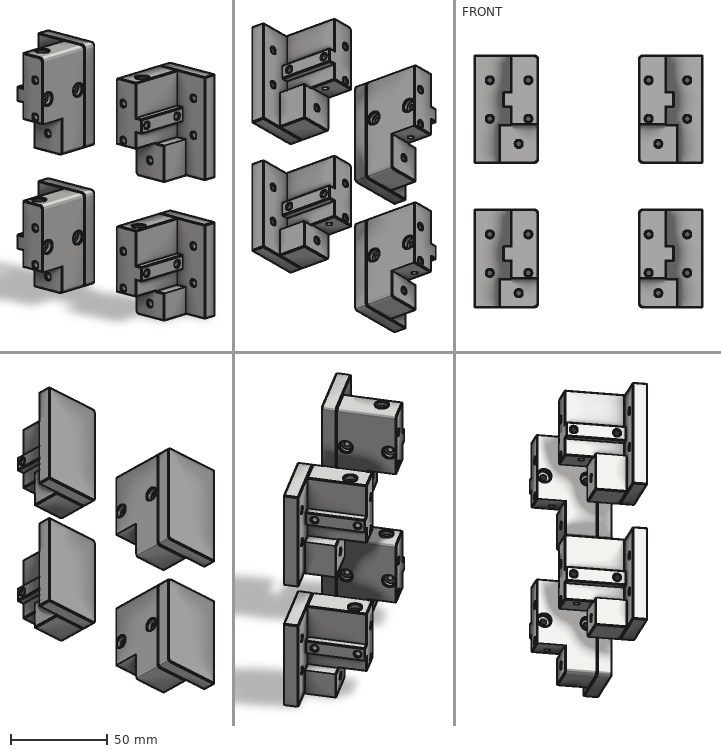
import cadquery as cq

overall_width = 118.8
overall_height = 131.0
overall_depth = 40.0
mount_width = 33.35

back_y = overall_depth / 2
front_y = -back_y
plate_thickness = 8.0
joint_y = back_y - plate_thickness
outer_x = -overall_width / 2
inner_x = outer_x + mount_width

arm_width = 14.35
arm_height = 36.0
arm_x = inner_x - arm_width
tooth_height = 8.0
tooth_reach = 4.0
tooth_x = arm_x - tooth_reach
foot_width = 20.35
foot_x = inner_x - foot_width
foot_front_y = back_y - 25.0

tall_foot_height = 20.0
short_foot_height = 15.0
tall_top_z = overall_height / 2
short_top_z = arm_height + short_foot_height - overall_height / 2
tall_top_hole_y = back_y - 30.0
short_top_hole_y = back_y - 32.5
mount_types = (
    (tall_top_z, tall_foot_height, tall_top_hole_y),
    (short_top_z, short_foot_height, short_top_hole_y),
)

edge_chamfer = 0.55
lead_in_chamfer = 0.6
corner_radius = 2.2

screw_diameter = 3.2
screw_depth = 6.0
screw_pitch = 20.0
first_screw_drop = 13.0
arm_screw_x = inner_x - 5.2
plate_screw_x = arm_screw_x - screw_pitch
foot_screw_x = inner_x - foot_width / 2
screw_drops = (first_screw_drop, first_screw_drop + screw_pitch)

counterbore_diameter = 6.5
counterbore_depth = 3.0
tooth_drop = first_screw_drop + screw_pitch / 2
cross_hole_ys = (back_y - 13.0, back_y - 36.0)

top_hole_x = inner_x - 9.4
top_hole_depth = arm_height

FRONT_TO_BACK = (0, 1, 0)
OUTER_TO_INNER = (1, 0, 0)
INNER_TO_OUTER = (-1, 0, 0)
DOWN = (0, 0, -1)


def block(x_range, y_range, z_range):
    """Box that fills the given X, Y and Z ranges."""
    corner = [low for low, high in (x_range, y_range, z_range)]
    size = [high - low for low, high in (x_range, y_range, z_range)]
    return cq.Workplane("XY").box(*size, centered=False).translate(tuple(corner))


def drill(mouth, direction, diameter, depth):
    """Tool for a flat-bottomed hole with a chamfered mouth."""
    radius = diameter / 2
    point = cq.Vector(*mouth)
    axis = cq.Vector(*direction)
    bore = cq.Solid.makeCylinder(radius, depth, point, axis)
    lead_in = cq.Solid.makeCone(radius + lead_in_chamfer, radius, lead_in_chamfer, point, axis)
    return cq.Workplane(bore).union(cq.Workplane(lead_in))


def screw_hole(x, y, z):
    """Blind screw hole that enters from the front."""
    return drill((x, y, z), FRONT_TO_BACK, screw_diameter, screw_depth)


def make_plate(top_z, bottom_z):
    """Back plate with rounded inner corners and chamfers all round its faces."""
    plate = block((outer_x, inner_x), (joint_y, back_y), (bottom_z, top_z))
    plate = plate.edges("|Y and >X").fillet(corner_radius)
    plate = plate.edges("<Y or >Y or <X").chamfer(edge_chamfer)
    for drop in screw_drops:
        plate = plate.cut(screw_hole(plate_screw_x, joint_y, top_z - drop))
    return plate


def outside_edges(guide, top_z, bottom_z):
    """Edges around the front, joint and foot faces, and the long edges of the outer side."""
    arm_bottom_z = top_z - arm_height
    tooth_z = top_z - tooth_drop
    arm_y = (front_y + joint_y) / 2
    overhang_y = (front_y + foot_front_y) / 2
    foot_y = (foot_front_y + joint_y) / 2
    edge_centres = (
        (arm_x, arm_y, top_z),
        (arm_x, overhang_y, arm_bottom_z),
        (tooth_x, arm_y, tooth_z + tooth_height / 2),
        (tooth_x, arm_y, tooth_z - tooth_height / 2),
        (foot_x, foot_y, bottom_z),
        (foot_x, foot_front_y, (bottom_z + arm_bottom_z) / 2),
        (foot_screw_x, foot_front_y, bottom_z),
        (inner_x, foot_front_y, (bottom_z + arm_bottom_z) / 2),
    )
    edges = guide.faces("<Y or >Y").edges()
    for centre in edge_centres:
        edges = edges.add(guide.edges(cq.NearestToPointSelector(centre)))
    return edges


def make_guide(top_z, bottom_z, top_hole_y):
    """Arm, side tooth and foot block in one piece, with all their holes."""
    arm_bottom_z = top_z - arm_height
    tooth_z = top_z - tooth_drop
    tooth_range = (tooth_z - tooth_height / 2, tooth_z + tooth_height / 2)
    arm_range = (front_y, joint_y)
    foot_range = (foot_front_y, joint_y)

    guide = block((arm_x, inner_x), arm_range, (arm_bottom_z, top_z))
    guide = guide.union(block((tooth_x, inner_x), arm_range, tooth_range))
    guide = guide.union(block((foot_x, inner_x), foot_range, (bottom_z, arm_bottom_z)))

    guide = guide.edges("|Y and >X").edges(">Z or <Z").fillet(corner_radius)

    guide = outside_edges(guide, top_z, bottom_z).chamfer(edge_chamfer)
    foot_lip = ((foot_x + arm_x) / 2, foot_front_y, arm_bottom_z)
    guide = guide.edges(cq.NearestToPointSelector(foot_lip)).chamfer(edge_chamfer)

    for drop in screw_drops:
        guide = guide.cut(screw_hole(arm_screw_x, front_y, top_z - drop))
    guide = guide.cut(screw_hole(foot_screw_x, foot_front_y, (bottom_z + arm_bottom_z) / 2))

    for y in cross_hole_ys:
        tooth_mouth = (tooth_x, y, tooth_z)
        inner_mouth = (inner_x, y, tooth_z)
        guide = guide.cut(drill(tooth_mouth, OUTER_TO_INNER, screw_diameter, inner_x - tooth_x))
        guide = guide.cut(drill(inner_mouth, INNER_TO_OUTER, counterbore_diameter, counterbore_depth))

    top_mouth = (top_hole_x, top_hole_y, top_z)
    guide = guide.cut(drill(top_mouth, DOWN, counterbore_diameter, counterbore_depth))
    guide = guide.cut(drill(top_mouth, DOWN, screw_diameter, top_hole_depth))
    return guide


solids = []
for top_z, foot_height, top_hole_y in mount_types:
    bottom_z = top_z - arm_height - foot_height
    for body in (make_plate(top_z, bottom_z), make_guide(top_z, bottom_z, top_hole_y)):
        solids.append(body.val())
        solids.append(body.mirror("YZ").val())

result = cq.Compound.makeCompound(solids)